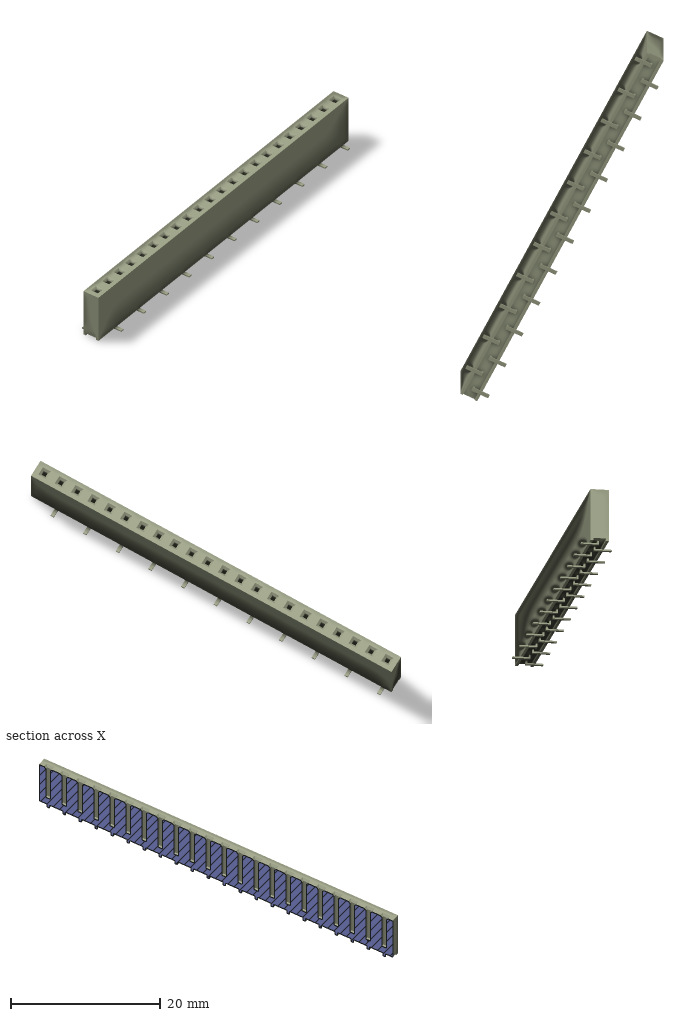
import cadquery as cq

body_length = 56.1
body_width = 2.5
lead_span = 4.65
total_height = 7.4

contact_count = 22
extra_length = 0.2
pitch = (body_length - extra_length) / contact_count

lead_width = 0.5
lead_thickness = 0.2
post_width = 0.2

rail_width = 0.4
groove_depth = 0.35

mouth_size = 1.25
throat_size = 0.6
funnel_depth = (mouth_size - throat_size) / 2
socket_depth = 5.6

body_bottom = lead_thickness
groove_top = body_bottom + groove_depth


def contact_positions():
    """Y of each contact, from the -Y end to the +Y end."""
    first = -pitch * (contact_count - 1) / 2
    return [first + pitch * i for i in range(contact_count)]


def make_body():
    """Upright bar with a wide groove along its underside."""
    base = cq.Workplane("XY").workplane(offset=body_bottom)
    body = base.rect(body_width, body_length).extrude(total_height - body_bottom)
    groove_width = body_width - 2 * rail_width
    groove = base.rect(groove_width, body_length).extrude(groove_depth)
    return body.cut(groove)


def make_sockets():
    """Cutters for every socket, opening in the top face."""
    centres = [(0, y) for y in contact_positions()]
    top = cq.Workplane("XY").workplane(offset=total_height)
    holes = top.pushPoints(centres).rect(throat_size, throat_size).extrude(-socket_depth)
    funnel = (
        top.rect(mouth_size, mouth_size)
        .workplane(offset=-funnel_depth)
        .rect(throat_size, throat_size)
        .loft(ruled=True)
    )
    for y in contact_positions():
        holes = holes.union(funnel.translate((0, y, 0)))
    return holes


def make_lead(y, side):
    """Flat lead towards +X (side = 1) or -X (side = -1), with a post up into the body."""
    inner_end = -side * post_width / 2
    outer_end = side * lead_span / 2
    lead = (
        cq.Workplane("XY")
        .center((inner_end + outer_end) / 2, y)
        .rect(abs(outer_end - inner_end), lead_width)
        .extrude(lead_thickness)
    )
    post = cq.Workplane("XY").center(0, y).rect(post_width, lead_width).extrude(groove_top)
    return lead.union(post)


connector = make_body().cut(make_sockets())
for index, lead_y in enumerate(contact_positions()):
    lead_side = -1 if index % 2 == 0 else 1
    connector = connector.union(make_lead(lead_y, lead_side))

result = cq.Workplane("XY").newObject([connector.solids().val()])